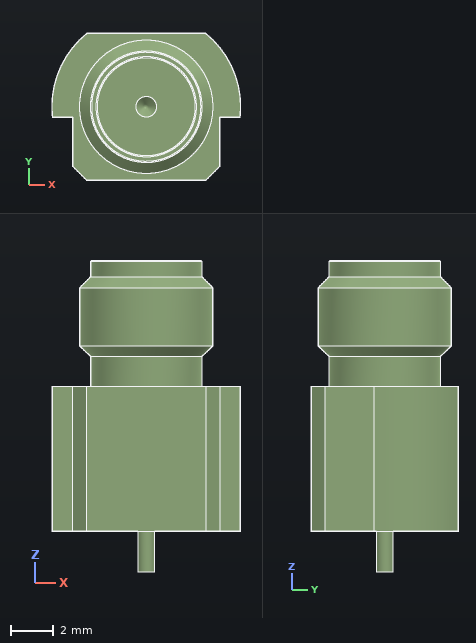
import cadquery as cq
import math

body_side = 7.0
body_height = 6.9
body_chamfer = 0.67
wing_radius = 4.5
wing_bottom_y = -0.5

total_height = 14.84
pin_diameter = 0.8

neck_radius = 2.65
collar_radius = 3.18
neck_height = 1.42
lower_cone_height = 0.49
collar_height = 2.78
upper_cone_height = 0.52
rim_height = 0.79
rim_chamfer = 0.06

bore_diameter = 4.66
bore_depth = 1.99
mouth_chamfer = 0.06
dimple_radius = 0.49
dimple_depth = 0.49

barrel_height = neck_height + lower_cone_height + collar_height + upper_cone_height + rim_height
pin_length = total_height - body_height - barrel_height
body_top = pin_length + body_height


def make_body():
    """Block with chamfered front corners, widened behind by two arc-sided wings."""
    half = body_side / 2
    front_x = half - body_chamfer
    rear_x = math.sqrt(wing_radius**2 - half**2)
    wing_x = math.sqrt(wing_radius**2 - wing_bottom_y**2)
    return (
        cq.Workplane("XY").workplane(offset=pin_length)
        .moveTo(-front_x, -half)
        .lineTo(front_x, -half)
        .lineTo(half, -half + body_chamfer)
        .lineTo(half, wing_bottom_y)
        .lineTo(wing_x, wing_bottom_y)
        .radiusArc((rear_x, half), -wing_radius)
        .lineTo(-rear_x, half)
        .radiusArc((-wing_x, wing_bottom_y), -wing_radius)
        .lineTo(-half, wing_bottom_y)
        .lineTo(-half, -half + body_chamfer)
        .close()
        .extrude(body_height)
    )


def make_barrel():
    """Revolved barrel with a raised collar between two cones."""
    collar_bottom = body_top + neck_height + lower_cone_height
    collar_top = collar_bottom + collar_height
    return (
        cq.Workplane("XZ")
        .moveTo(0, body_top)
        .lineTo(neck_radius, body_top)
        .lineTo(neck_radius, body_top + neck_height)
        .lineTo(collar_radius, collar_bottom)
        .lineTo(collar_radius, collar_top)
        .lineTo(neck_radius, collar_top + upper_cone_height)
        .lineTo(neck_radius, total_height - rim_chamfer)
        .lineTo(neck_radius - rim_chamfer, total_height)
        .lineTo(0, total_height)
        .close()
        .revolve(360, (0, 0, 0), (0, 1, 0))
    )


def make_socket():
    """Revolved cavity: flared mouth, flat floor and a central dimple."""
    bore_radius = bore_diameter / 2
    floor = total_height - bore_depth
    return (
        cq.Workplane("XZ")
        .moveTo(0, total_height)
        .lineTo(bore_radius + mouth_chamfer, total_height)
        .lineTo(bore_radius, total_height - mouth_chamfer)
        .lineTo(bore_radius, floor)
        .lineTo(dimple_radius, floor)
        .lineTo(0, floor - dimple_depth)
        .close()
        .revolve(360, (0, 0, 0), (0, 1, 0))
    )


pin = cq.Workplane("XY").circle(pin_diameter / 2).extrude(body_top)
result = make_body().union(pin).union(make_barrel()).cut(make_socket())